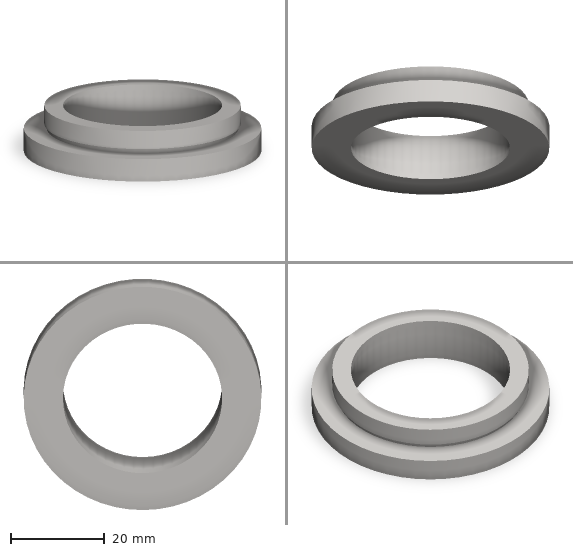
import cadquery as cq

flange_diameter = 50.8
shoulder_diameter = 42.0
groove_diameter = 41.0
bore_diameter = 34.0
total_height = 10.0
shoulder_height = 4.0
groove_width = 1.0
flange_height = total_height - shoulder_height - groove_width


def ring(diameter, height, base_z):
    """Flat ring around the common bore, standing on the level base_z."""
    return (
        cq.Workplane("XY", origin=(0, 0, base_z))
        .circle(diameter / 2)
        .circle(bore_diameter / 2)
        .extrude(height)
    )


flange = ring(flange_diameter, flange_height, 0)
groove = ring(groove_diameter, groove_width, flange_height)
shoulder = ring(shoulder_diameter, shoulder_height, flange_height + groove_width)

result = flange.union(groove).union(shoulder)